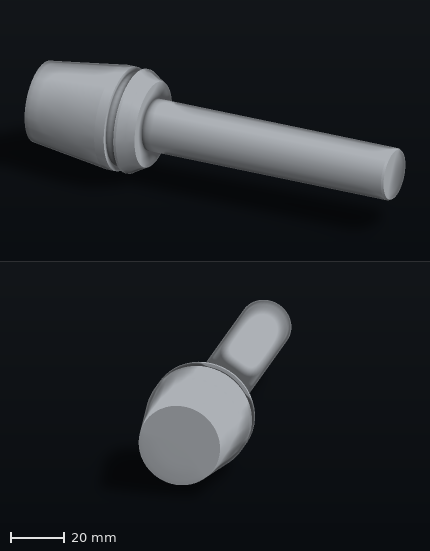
import cadquery as cq
import math

total_length = 146.1
head_diameter = 40.0
groove_diameter = 36.0
shank_diameter = 20.0

cone_length = 31.0
front_band_width = 4.0
groove_width = 4.0
rear_band_width = 1.0
rear_cone_length = 6.1
shank_chamfer_length = 0.9
shank_chamfer_depth = 0.5

cone_half_angle = 8.0
rear_cone_half_angle = 30.0

head_radius = head_diameter / 2
groove_radius = groove_diameter / 2
shank_radius = shank_diameter / 2
nose_radius = head_radius - cone_length * math.tan(math.radians(cone_half_angle))
rear_radius = head_radius - rear_cone_length * math.tan(math.radians(rear_cone_half_angle))

nose_x = -total_length / 2
shank_end_x = total_length / 2
cone_end_x = nose_x + cone_length
groove_start_x = cone_end_x + front_band_width
groove_end_x = groove_start_x + groove_width
rear_cone_start_x = groove_end_x + rear_band_width
head_end_x = rear_cone_start_x + rear_cone_length

half_outline = [
    (nose_x, 0),
    (nose_x, nose_radius),
    (cone_end_x, head_radius),
    (groove_start_x, head_radius),
    (groove_start_x, groove_radius),
    (groove_end_x, groove_radius),
    (groove_end_x, head_radius),
    (rear_cone_start_x, head_radius),
    (head_end_x, rear_radius),
    (head_end_x, shank_radius),
    (shank_end_x - shank_chamfer_length, shank_radius),
    (shank_end_x, shank_radius - shank_chamfer_depth),
    (shank_end_x, 0),
]

result = cq.Workplane("XY").polyline(half_outline).close().revolve(360, (0, 0, 0), (1, 0, 0))